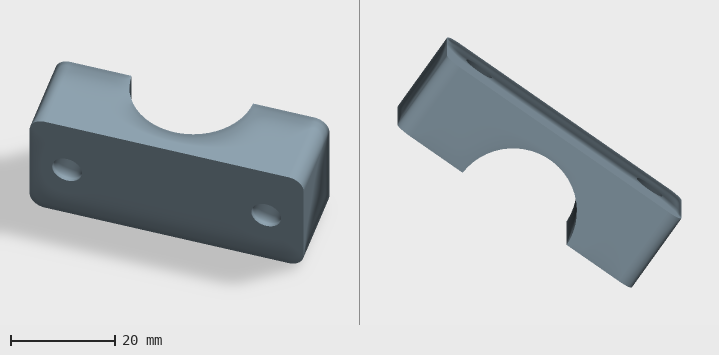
import cadquery as cq

length = 55.0
depth = 16.5
height = 24.0
corner_radius = 3.0

hole_diameter = 6.0
hole_spacing = 40.0

saddle_radius = 12.2
axis_setback = 0.5
saddle_axis_y = depth / 2 + axis_setback


def make_block():
    """Rectangular block with its four front-to-back edges rounded."""
    return cq.Workplane("XY").box(length, depth, height).edges("|Y").fillet(corner_radius)


def make_bolt_holes():
    """Two plain through holes, one on each side of the saddle."""
    return (
        cq.Workplane("XZ")
        .pushPoints([(-hole_spacing / 2, 0), (hole_spacing / 2, 0)])
        .circle(hole_diameter / 2)
        .extrude(depth / 2, both=True)
    )


def make_saddle():
    """Vertical cylinder that hollows out the back face over the full height."""
    return (
        cq.Workplane("XY")
        .center(0, saddle_axis_y)
        .circle(saddle_radius)
        .extrude(height / 2, both=True)
    )


result = make_block().cut(make_bolt_holes()).cut(make_saddle())